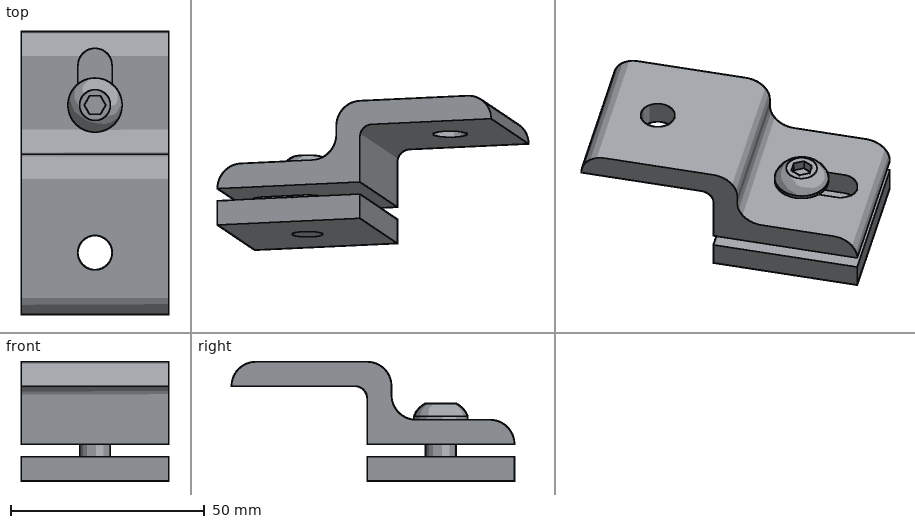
import cadquery as cq
import math

width = 38.1
total_length = 73.13
total_height = 30.86
base_length = 38.1
thickness = 6.35
clamp_gap = 3.175

outer_radius = thickness
inner_radius = thickness / 2
hole_diameter = 8.8
hole_spacing = 38.1
slot_travel = 10.25

shank_diameter = 7.94
head_diameter = 14.0
head_flat_diameter = 7.95
head_height = 4.2
head_rim_height = 0.85
dome_bulge = 0.45
hex_across_flats = 4.8
hex_depth = 2.5

back = base_length / 2
wall_front = -base_length / 2
wall_back = wall_front + thickness
nose_front = back - total_length
foot_bottom = thickness + clamp_gap
foot_top = foot_bottom + thickness
shelf_bottom = total_height - thickness
head_top = foot_top + head_height


def make_clamp_plate():
    plate = cq.Workplane("XY").box(width, base_length, thickness, centered=(True, True, False))
    screw_hole = cq.Workplane("XY").circle(shank_diameter / 2).extrude(thickness)
    return plate.cut(screw_hole)


def make_bracket():
    arc = outer_radius
    profile = (
        cq.Workplane("YZ")
        .moveTo(back, foot_bottom)
        .radiusArc((back - arc, foot_top), -arc)
        .lineTo(wall_back + arc, foot_top)
        .radiusArc((wall_back, foot_top + arc), arc)
        .lineTo(wall_back, total_height - arc)
        .radiusArc((wall_back - arc, total_height), -arc)
        .lineTo(nose_front + arc, total_height)
        .radiusArc((nose_front, shelf_bottom), -arc)
        .lineTo(wall_front - inner_radius, shelf_bottom)
        .radiusArc((wall_front, shelf_bottom - inner_radius), inner_radius)
        .lineTo(wall_front, foot_bottom)
        .close()
    )
    body = profile.extrude(width / 2, both=True)
    mounting_hole = (
        cq.Workplane("XY", origin=(0, -hole_spacing, shelf_bottom))
        .circle(hole_diameter / 2)
        .extrude(thickness)
    )
    adjusting_slot = (
        cq.Workplane("XY", origin=(0, slot_travel / 2, foot_bottom))
        .slot2D(slot_travel + hole_diameter, hole_diameter, 90)
        .extrude(thickness)
    )
    head_seat = (
        cq.Workplane("XY", origin=(0, 0, foot_top))
        .circle(head_diameter / 2)
        .extrude(head_height)
    )
    return body.cut(mounting_hole).cut(adjusting_slot).cut(head_seat)


def make_screw():
    shank_radius = shank_diameter / 2
    head_radius = head_diameter / 2
    flat_radius = head_flat_diameter / 2
    rim_top = foot_top + head_rim_height
    profile = (
        cq.Workplane("XZ")
        .lineTo(shank_radius, 0)
        .lineTo(shank_radius, foot_top)
        .lineTo(head_radius, foot_top)
        .lineTo(head_radius, rim_top)
        .sagittaArc((flat_radius, head_top), -dome_bulge)
        .lineTo(0, head_top)
        .close()
    )
    body = profile.revolve(360, (0, 0, 0), (0, 1, 0))
    hex_across_corners = hex_across_flats / math.cos(math.pi / 6)
    hex_socket = (
        cq.Workplane("XY", origin=(0, 0, head_top))
        .polygon(6, hex_across_corners)
        .extrude(-hex_depth)
    )
    return body.cut(hex_socket)


clamp_plate = make_clamp_plate()
bracket = make_bracket()
screw = make_screw()

result = cq.Compound.makeCompound([clamp_plate.val(), bracket.val(), screw.val()])